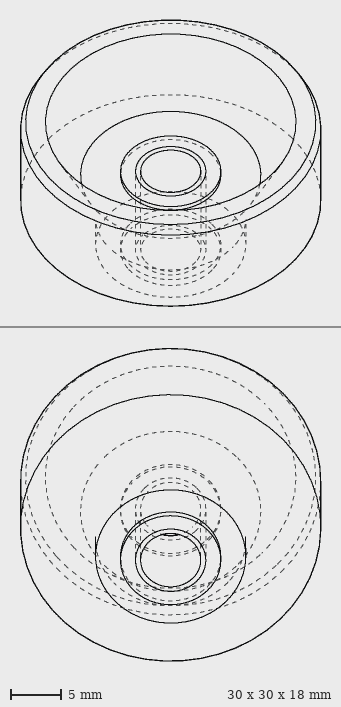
import cadquery as cq

outer_radius = 15.0
collar_radius = 7.5
boss_radius = 5.0
sleeve_radius = 3.5
bore_radius = 3.0
recess_rim_radius = 12.5
recess_floor_radius = 9.0

total_height = 18.0
spigot_height = 0.8
cone_top = 7.0
recess_floor = 10.6
boss_height = 0.5
boss_top = recess_floor + boss_height

rim_bevel_width = 0.5
rim_bevel_height = 1.0

cone_foot = 4.85
collar_fillet = 0.5
selection_margin = 0.3


def make_wheel():
    """Cupped wheel with a stepped hub, revolved about the Z axis."""
    wheel = (
        cq.Workplane("XZ")
        .moveTo(sleeve_radius, 0)
        .lineTo(boss_radius, 0)
        .lineTo(boss_radius, spigot_height)
        .lineTo(collar_radius, spigot_height)
        .lineTo(collar_radius, cone_foot)
        .lineTo(outer_radius, cone_top)
        .lineTo(outer_radius, total_height - rim_bevel_height)
        .lineTo(outer_radius - rim_bevel_width, total_height)
        .lineTo(recess_rim_radius, total_height)
        .lineTo(recess_floor_radius, recess_floor)
        .lineTo(boss_radius, recess_floor)
        .lineTo(boss_radius, boss_top)
        .lineTo(sleeve_radius, boss_top)
        .close()
        .revolve(360, (0, 0, 0), (0, 1, 0))
    )
    collar_reach = collar_radius + selection_margin
    collar_edge = cq.selectors.BoxSelector(
        (-collar_reach, -collar_reach, cone_foot - selection_margin),
        (collar_reach, collar_reach, cone_foot + selection_margin),
        boundingbox=True,
    )
    return wheel.edges(collar_edge).fillet(collar_fillet)


def make_sleeve():
    """Thin tube lining the hub, flush with both of its ends."""
    return cq.Workplane("XY").circle(sleeve_radius).circle(bore_radius).extrude(boss_top)


wheel = make_wheel()
sleeve = make_sleeve()

result = cq.Compound.makeCompound([wheel.val(), sleeve.val()])